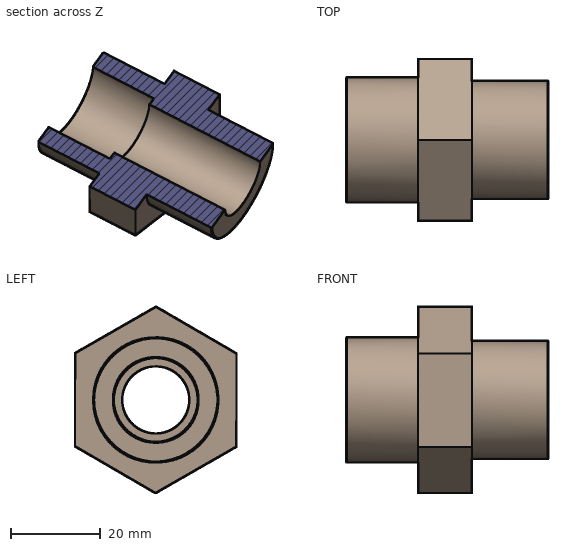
import cadquery as cq
import math

inlet_length = 16.0
collar_length = 12.0
outlet_length = 17.0
collar_start = inlet_length
collar_end = collar_start + collar_length
total_length = collar_end + outlet_length

collar_across_flats = 36.0
collar_across_corners = collar_across_flats / math.cos(math.radians(30))
collar_tilt_degrees = 0.165

inlet_diameter = 27.95
outlet_diameter = 26.44

inlet_bore_diameter = 18.63
inlet_bore_depth = inlet_length
passage_diameter = 14.9

edge_break_radial = 0.25
edge_break_length = edge_break_radial * math.tan(math.radians(30))


def revolve_about_x(profile_points):
    """Turn a closed (x, radius) outline about the X axis."""
    outline = cq.Workplane("XY").polyline(profile_points).close()
    return outline.revolve(360, (0, 0, 0), (1, 0, 0))


def make_spigots():
    """Both spigots as one turned bar, stepping down at the collar."""
    inlet_radius = inlet_diameter / 2
    outlet_radius = outlet_diameter / 2
    return revolve_about_x([
        (0, 0),
        (0, inlet_radius - edge_break_radial),
        (edge_break_length, inlet_radius),
        (collar_start, inlet_radius),
        (collar_start, outlet_radius),
        (total_length - edge_break_length, outlet_radius),
        (total_length, outlet_radius - edge_break_radial),
        (total_length, 0),
    ])


def make_collar():
    """Hexagon with one pair of corners pointing along Z."""
    corner_up_degrees = 90
    return (
        cq.Workplane("YZ", origin=(collar_start, 0, 0))
        .transformed(rotate=(0, 0, corner_up_degrees + collar_tilt_degrees))
        .polygon(6, collar_across_corners)
        .extrude(collar_length)
    )


def make_bore():
    """Inlet bore with a chamfered mouth, stepping down to the through passage."""
    bore_radius = inlet_bore_diameter / 2
    passage_radius = passage_diameter / 2
    return revolve_about_x([
        (0, 0),
        (0, bore_radius + edge_break_radial),
        (edge_break_length, bore_radius),
        (inlet_bore_depth, bore_radius),
        (inlet_bore_depth, passage_radius),
        (total_length, passage_radius),
        (total_length, 0),
    ])


result = make_spigots().union(make_collar()).cut(make_bore())